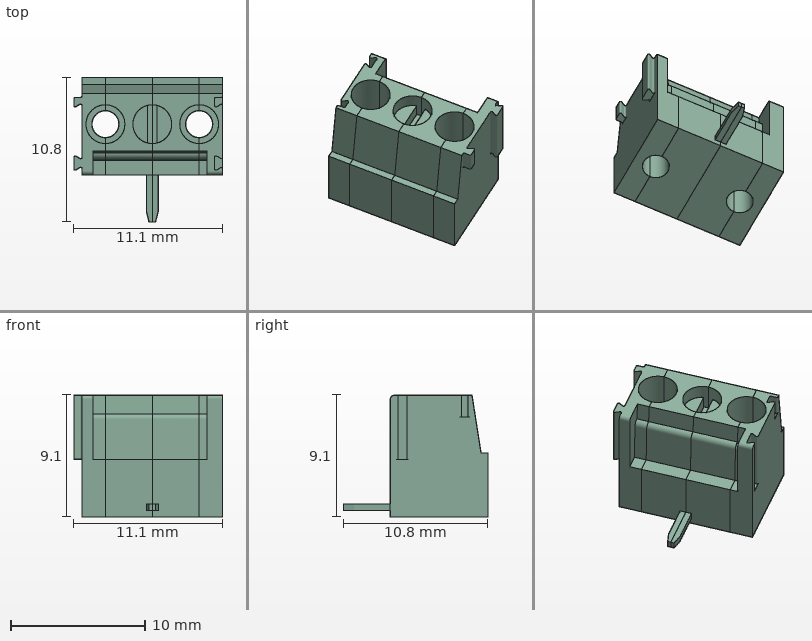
import cadquery as cq


BLOCK_WIDTH = 10.5
BLOCK_DEPTH = 7.3
BLOCK_HEIGHT = 9.1
HALF_WIDTH = BLOCK_WIDTH / 2
HOLE_PITCH = 3.5
TOP_FRONT_RADIUS = 0.3

STEP_HEIGHT = 4.8
STEP_DEPTH = 0.52
SLOPE_TOP_INSET = 1.2

LEFT_WALL = 0.83
RIGHT_WALL = 1.17
NOTCH_HEIGHT = 4.8
LEDGE_DROP = 1.4
NOTCH_FLOOR = BLOCK_HEIGHT - NOTCH_HEIGHT
NOTCH_LEDGE = BLOCK_HEIGHT - LEDGE_DROP
NOTCH_TOP_DEPTH = 1.8
LEDGE_REAR_DEPTH = 1.66
LEDGE_FRONT_DEPTH = 1.21
NOTCH_FLOOR_DEPTH = 1.1
LEDGE_RADIUS = 0.42

HOLE_REAR_INSET = 3.5
HOLE_Y = BLOCK_DEPTH - HOLE_REAR_INSET
WELL_DIAMETER = 2.9
THROUGH_DIAMETER = 2.0
END_WELL_DEPTH = NOTCH_HEIGHT
SCREW_WELL_DEPTH = 1.1
SCREW_SLOT_WIDTH = 0.72
SCREW_SLOT_DEPTH = 1.0

PIN_WIDTH = 0.9
PIN_TIP_WIDTH = 0.5
PIN_LENGTH = 3.5
PIN_TAPER_LENGTH = 0.8
PIN_THICKNESS = 0.5
PIN_BOTTOM = 0.5

TONGUE_REACH = 0.6
DOVETAIL_FLARE = 0.35
DOVETAIL_RADIUS = 0.1
DOVETAIL_BASE = 0.11
BASE_MARGIN = 0.28
FRONT_DOVETAIL_Y = 0.91
FRONT_DOVETAIL_ROOT = 0.51
FRONT_DOVETAIL_DEPTH = NOTCH_HEIGHT
REAR_DOVETAIL_INSET = 1.5
REAR_DOVETAIL_REAR = BLOCK_DEPTH - REAR_DOVETAIL_INSET
REAR_DOVETAIL_ROOT = 0.43
REAR_DOVETAIL_DEPTH = 1.61


def block_slice(x_min, x_max):
    """Plain slice of the block, with the rear step and the slope."""
    return (
        cq.Workplane("YZ", origin=(x_min, 0, 0))
        .polyline([
            (0, 0),
            (BLOCK_DEPTH, 0),
            (BLOCK_DEPTH, STEP_HEIGHT),
            (BLOCK_DEPTH - STEP_DEPTH, STEP_HEIGHT),
            (BLOCK_DEPTH - SLOPE_TOP_INSET, BLOCK_HEIGHT),
            (0, BLOCK_HEIGHT),
        ])
        .close()
        .extrude(x_max - x_min)
        .edges("|X and <Y and >Z")
        .fillet(TOP_FRONT_RADIUS)
    )


def front_notch():
    """Cutter for the front notch, with a rounded ledge part way up its rear wall."""
    x_min = -HALF_WIDTH + LEFT_WALL
    x_max = HALF_WIDTH - RIGHT_WALL
    ledge_edge = ((x_min + x_max) / 2, LEDGE_FRONT_DEPTH, NOTCH_LEDGE)
    return (
        cq.Workplane("YZ", origin=(x_min, 0, 0))
        .polyline([
            (0, NOTCH_FLOOR),
            (NOTCH_FLOOR_DEPTH, NOTCH_FLOOR),
            (LEDGE_FRONT_DEPTH, NOTCH_LEDGE),
            (LEDGE_REAR_DEPTH, NOTCH_LEDGE),
            (NOTCH_TOP_DEPTH, BLOCK_HEIGHT),
            (0, BLOCK_HEIGHT),
        ])
        .close()
        .extrude(x_max - x_min)
        .edges(cq.selectors.NearestToPointSelector(ledge_edge))
        .fillet(LEDGE_RADIUS)
    )


def well(x, diameter, depth):
    """Cylinder sunk from the top face."""
    return (
        cq.Workplane("XY", origin=(x, HOLE_Y, BLOCK_HEIGHT - depth))
        .circle(diameter / 2)
        .extrude(depth)
    )


def end_hole(x):
    """Through hole below a wide well, at the joint plane of an end section."""
    return well(x, WELL_DIAMETER, END_WELL_DEPTH).union(well(x, THROUGH_DIAMETER, BLOCK_HEIGHT))


def screw_recess():
    """Middle well, with a driver slot across the screw head at its bottom."""
    depth = SCREW_WELL_DEPTH + SCREW_SLOT_DEPTH
    slot = (
        cq.Workplane("XY", origin=(0, HOLE_Y, BLOCK_HEIGHT - depth))
        .rect(SCREW_SLOT_WIDTH, WELL_DIAMETER)
        .extrude(depth)
        .intersect(well(0, WELL_DIAMETER, depth))
    )
    return well(0, WELL_DIAMETER, SCREW_WELL_DEPTH).union(slot)


def half_pin():
    """Right half of the pin, which points forward and tapers at its tip."""
    return (
        cq.Workplane("XY", origin=(0, 0, PIN_BOTTOM))
        .polyline([
            (0, 0),
            (PIN_WIDTH / 2, 0),
            (PIN_WIDTH / 2, PIN_TAPER_LENGTH - PIN_LENGTH),
            (PIN_TIP_WIDTH / 2, -PIN_LENGTH),
            (0, -PIN_LENGTH),
        ])
        .close()
        .extrude(PIN_THICKNESS)
    )


def dovetail(x_root, front, rear, rear_flare, depth):
    """Dovetail running down from the top, on a slab that lets its root be rounded."""
    x_tip = x_root - TONGUE_REACH
    x_base = x_root + DOVETAIL_BASE
    return (
        cq.Workplane("XY", origin=(0, 0, BLOCK_HEIGHT - depth))
        .polyline([
            (x_base, front - BASE_MARGIN),
            (x_root, front - BASE_MARGIN),
            (x_root, front),
            (x_tip, front - DOVETAIL_FLARE),
            (x_tip, rear + rear_flare),
            (x_root, rear),
            (x_root, rear + BASE_MARGIN),
            (x_base, rear + BASE_MARGIN),
        ])
        .close()
        .extrude(depth)
        .edges("|Z and (not >X)")
        .fillet(DOVETAIL_RADIUS)
    )


def dovetails(x_root):
    """Front dovetail with two sloping flanks, rear one with its rear flank straight."""
    front = dovetail(
        x_root,
        front=FRONT_DOVETAIL_Y - FRONT_DOVETAIL_ROOT / 2,
        rear=FRONT_DOVETAIL_Y + FRONT_DOVETAIL_ROOT / 2,
        rear_flare=DOVETAIL_FLARE,
        depth=FRONT_DOVETAIL_DEPTH,
    )
    rear = dovetail(
        x_root,
        front=REAR_DOVETAIL_REAR - REAR_DOVETAIL_ROOT,
        rear=REAR_DOVETAIL_REAR,
        rear_flare=0,
        depth=REAR_DOVETAIL_DEPTH,
    )
    return front.union(rear)


def tongue_end():
    """Left end section, carrying the tongues."""
    section = block_slice(-HALF_WIDTH, -HOLE_PITCH).cut(front_notch()).cut(end_hole(-HOLE_PITCH))
    return section.union(dovetails(-HALF_WIDTH))


def groove_end():
    """Right end section, carrying the grooves that take a neighbour's tongues."""
    section = block_slice(HOLE_PITCH, HALF_WIDTH).cut(front_notch()).cut(end_hole(HOLE_PITCH))
    return section.cut(dovetails(HALF_WIDTH))


def center_half():
    """Right-hand center section, with half of the screw recess and half of the pin."""
    section = block_slice(0, HOLE_PITCH).cut(front_notch()).cut(end_hole(HOLE_PITCH))
    return section.cut(screw_recess()).union(half_pin())


center_halves = []
for mirrored in (False, True):
    half = center_half()
    if mirrored:
        half = half.mirror("YZ")
    center_halves.append(half.val())

result = cq.Compound.makeCompound([tongue_end().val(), *center_halves, groove_end().val()])